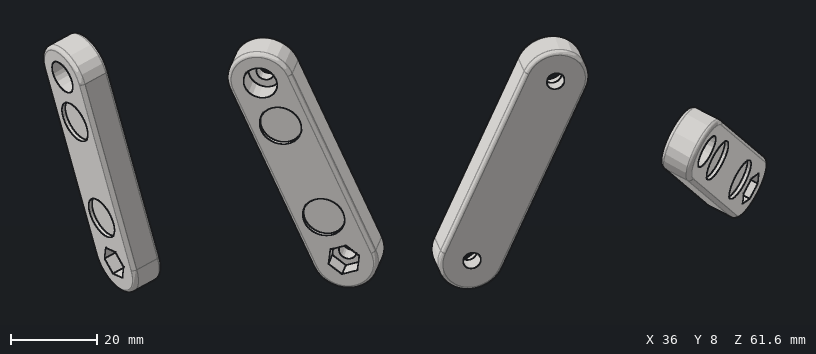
import cadquery as cq
import math

end_radius = 8.0
thickness = 8.0
outer_width = 35.95
outer_height = 61.65
edge_radius = 1.0

hole_diameter = 4.2
head_diameter = 8.0
head_depth = 5.0
nut_corner_diameter = 8.0
nut_depth = 4.0

pocket_diameter = 10.0
pocket_depth = 1.0
pocket_offset = 12.0

run = outer_width - 2 * end_radius
rise = outer_height - 2 * end_radius
hole_spacing = math.hypot(run, rise)
tilt = math.degrees(math.atan2(run, rise))
hole_height = hole_spacing / 2
pocket_height = hole_height - pocket_offset


def front_plane(height):
    """Sketch plane on the -Y face, with its normal pointing into the bar."""
    return cq.Workplane(
        cq.Plane(origin=(0, -thickness / 2, height), xDir=(1, 0, 0), normal=(0, 1, 0))
    )


def front_cylinder(height, diameter, depth):
    return front_plane(height).circle(diameter / 2).extrude(depth)


def bar_body():
    return (
        front_plane(0)
        .slot2D(hole_spacing + 2 * end_radius, 2 * end_radius, 90)
        .extrude(thickness)
        .faces("<Y or >Y")
        .edges()
        .fillet(edge_radius)
    )


def nut_recess():
    return front_plane(-hole_height).polygon(6, nut_corner_diameter).extrude(nut_depth)


bar = bar_body()
for side in (-1, 1):
    bar = bar.cut(front_cylinder(side * hole_height, hole_diameter, thickness))
    bar = bar.cut(front_cylinder(side * pocket_height, pocket_diameter, pocket_depth))
bar = bar.cut(front_cylinder(hole_height, head_diameter, head_depth))
bar = bar.cut(nut_recess())

result = bar.rotate((0, 0, 0), (0, 1, 0), -tilt)